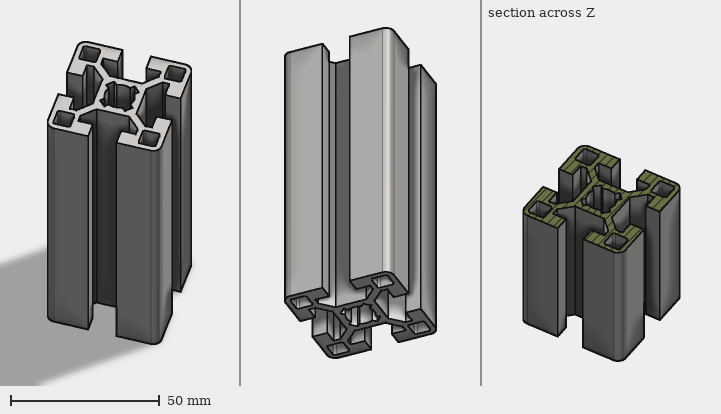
import cadquery as cq

length = 100.0
side = 40.0
corner_radius = 3.0

opening_width = 10.0
lip_thickness = 5.5
slot_width = 20.2
core_width = 15.4
web_offset = 2.0

hollow_size = 6.0
hollow_center = 15.0
hollow_radius = 0.8

bore_diameter = 10.2
cross_length = 13.2
cross_width = 3.0

half_side = side / 2
half_opening = opening_width / 2
half_slot = slot_width / 2
half_core = core_width / 2
lip_inner = half_side - lip_thickness


def t_slot():
    """Cutter for the T-slot that opens toward +Y."""
    right_edge = [
        (half_opening, half_side),
        (half_opening, lip_inner),
        (half_slot, lip_inner),
        (half_slot, half_slot + web_offset),
        (half_core - web_offset, half_core),
    ]
    left_edge = [(-x, y) for x, y in reversed(right_edge)]
    return cq.Workplane("XY").polyline(right_edge + left_edge).close().extrude(length)


def corner_hollows():
    """Four rounded square hollows, one in each corner."""
    return (
        cq.Workplane("XY")
        .rect(2 * hollow_center, 2 * hollow_center, forConstruction=True)
        .vertices()
        .rect(hollow_size, hollow_size)
        .extrude(length)
        .edges("|Z")
        .fillet(hollow_radius)
    )


def center_bore():
    """Round bore joined with the two crossed diagonal slots."""
    bore = cq.Workplane("XY").circle(bore_diameter / 2).extrude(length)
    for angle in (45, 135):
        diagonal = cq.Workplane("XY").rect(cross_length, cross_width).extrude(length)
        bore = bore.union(diagonal.rotate((0, 0, 0), (0, 0, 1), angle))
    return bore


result = cq.Workplane("XY").rect(side, side).extrude(length).edges("|Z").fillet(corner_radius)
for angle in (0, 90, 180, 270):
    result = result.cut(t_slot().rotate((0, 0, 0), (0, 0, 1), angle))
result = result.cut(corner_hollows())
result = result.cut(center_bore())